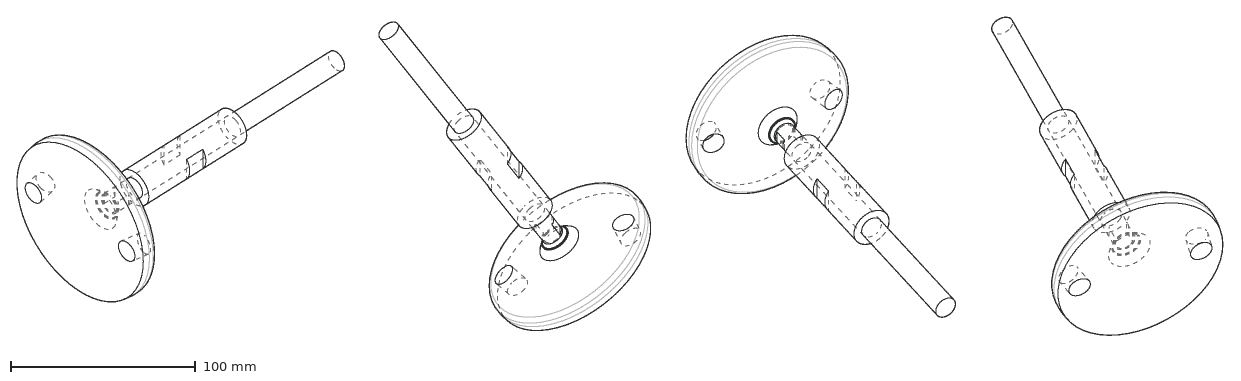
import cadquery as cq
import math

TOTAL_HEIGHT = 197.0

FOOT_DIAMETER = 98.0
FOOT_DRAFT = 0.5
DRAFT_HEIGHT = 4.1
RIM_HEIGHT = 7.0
SHOULDER_ROUND = 2.5
TOP_SLOPE = math.radians(10)
NECK_BASE_RADIUS = 12.2
NECK_BULGE = 0.4
NECK_TOP_RADIUS = 8.3
NECK_TOP_HEIGHT = 20.0
FOOT_HEIGHT = 20.7
BOLT_HOLE_DIAMETER = 12.5
BOLT_HOLE_OFFSET = 35.7

ROD_DIAMETER = 12.5
DOME_BASE_RADIUS = 7.7
DOME_TOP_RADIUS = 5.3
DOME_BULGE = 0.2
ROD_START_HEIGHT = 22.7
ROD_FLATS_WIDTH = 10.2
ROD_FLATS_BOTTOM = 23.8
ROD_FLATS_LENGTH = 8.3

SLEEVE_DIAMETER = 22.0
SLEEVE_BOTTOM = 41.8
SLEEVE_LENGTH = 75.3
SLEEVE_FLATS_WIDTH = 17.3
SLEEVE_FLATS_LENGTH = 12.5


def cylinder(diameter, bottom, length):
    """Solid cylinder standing on the Y axis."""
    return cq.Workplane(cq.Solid.makeCylinder(
        diameter / 2, length, cq.Vector(0, bottom, 0), cq.Vector(0, 1, 0)
    ))


def cut_flats(body, diameter, width, bottom, length):
    """Cut two opposite wrench flats facing +X and -X."""
    middle = bottom + length / 2
    slab = cq.Workplane("XY").box(width, length, diameter).translate((0, middle, 0))
    waste = cylinder(2 * diameter, bottom, length).cut(slab)
    return body.cut(waste)


def make_foot():
    """Round foot with a sloping top, convex neck and two bolt holes square to the slope."""
    rim_radius = FOOT_DIAMETER / 2
    shoulder_radius = rim_radius - SHOULDER_ROUND * (1 - math.sin(TOP_SLOPE))
    shoulder_height = RIM_HEIGHT + SHOULDER_ROUND * math.cos(TOP_SLOPE)
    neck_base_height = shoulder_height + (shoulder_radius - NECK_BASE_RADIUS) * math.tan(TOP_SLOPE)
    foot = (
        cq.Workplane("XY")
        .lineTo(rim_radius - FOOT_DRAFT, 0)
        .lineTo(rim_radius, DRAFT_HEIGHT)
        .lineTo(rim_radius, RIM_HEIGHT)
        .tangentArcPoint((shoulder_radius, shoulder_height), relative=False)
        .lineTo(NECK_BASE_RADIUS, neck_base_height)
        .sagittaArc((NECK_TOP_RADIUS, NECK_TOP_HEIGHT), -NECK_BULGE)
        .lineTo(NECK_TOP_RADIUS, FOOT_HEIGHT)
        .lineTo(0, FOOT_HEIGHT)
        .close()
        .revolve(360, (0, 0, 0), (0, 1, 0))
    )
    for side in (-1, 1):
        direction = cq.Vector(side * math.sin(TOP_SLOPE), math.cos(TOP_SLOPE), 0)
        entry = cq.Vector(side * BOLT_HOLE_OFFSET, 0, 0)
        drill = cq.Solid.makeCylinder(
            BOLT_HOLE_DIAMETER / 2, 2 * FOOT_HEIGHT, entry - direction * FOOT_HEIGHT, direction
        )
        foot = foot.cut(cq.Workplane(drill))
    return foot


def make_spindle():
    """Rod with a domed end resting on the foot, and wrench flats above the dome."""
    rod_radius = ROD_DIAMETER / 2
    spindle = (
        cq.Workplane("XY")
        .moveTo(0, FOOT_HEIGHT)
        .lineTo(DOME_BASE_RADIUS, FOOT_HEIGHT)
        .sagittaArc((DOME_TOP_RADIUS, ROD_START_HEIGHT), -DOME_BULGE)
        .lineTo(rod_radius, ROD_START_HEIGHT)
        .lineTo(rod_radius, TOTAL_HEIGHT)
        .lineTo(0, TOTAL_HEIGHT)
        .close()
        .revolve(360, (0, 0, 0), (0, 1, 0))
    )
    return cut_flats(spindle, ROD_DIAMETER, ROD_FLATS_WIDTH, ROD_FLATS_BOTTOM, ROD_FLATS_LENGTH)


def make_sleeve():
    """Sleeve around the rod with wrench flats at mid length."""
    sleeve = cylinder(SLEEVE_DIAMETER, SLEEVE_BOTTOM, SLEEVE_LENGTH)
    sleeve = sleeve.cut(cylinder(ROD_DIAMETER, SLEEVE_BOTTOM, SLEEVE_LENGTH))
    flats_bottom = SLEEVE_BOTTOM + (SLEEVE_LENGTH - SLEEVE_FLATS_LENGTH) / 2
    return cut_flats(sleeve, SLEEVE_DIAMETER, SLEEVE_FLATS_WIDTH, flats_bottom, SLEEVE_FLATS_LENGTH)


foot = make_foot()
spindle = make_spindle()
sleeve = make_sleeve()

result = cq.Compound.makeCompound([foot.val(), spindle.val(), sleeve.val()])